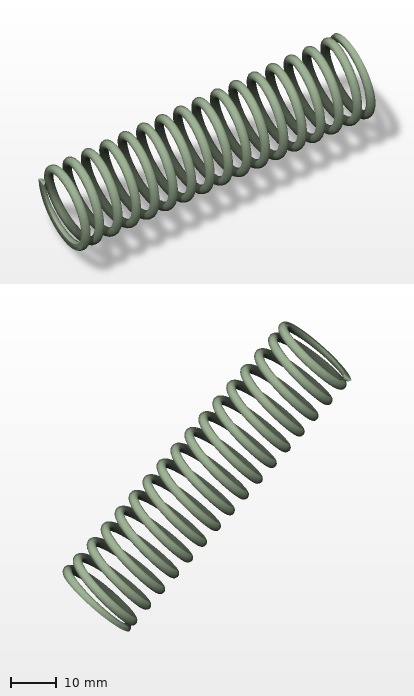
import cadquery as cq

outer_diameter = 20.0
free_length = 74.0
wire_diameter = 2.08
active_turns = 15
end_turn_clearance = 0.01
grind_past_centre = 0.1

wire_radius = wire_diameter / 2
coil_radius = (outer_diameter - wire_diameter) / 2
end_turn_pitch = wire_diameter + end_turn_clearance
active_start = end_turn_pitch - grind_past_centre
active_end = free_length - active_start
active_length = active_end - active_start
active_pitch = active_length / active_turns


def coil(pitch, length, start):
    """Left-hand coil along Y that begins and ends at the -X side, at mid height."""
    axis = cq.Plane(origin=(0, start, 0), xDir=(-1, 0, 0), normal=(0, 1, 0))
    path = cq.Wire.makeHelix(pitch, length, coil_radius, lefthand=True).moved(axis.location)
    section = cq.Workplane("XY").center(-coil_radius, start).circle(wire_radius)
    return section.sweep(path, isFrenet=True)


def ground_end_turn(start):
    """One closed turn, cut flat where it reaches past the ends of the spring."""
    turn = coil(end_turn_pitch, end_turn_pitch, start)
    envelope = cq.Workplane("XY").box(2 * outer_diameter, free_length, 2 * outer_diameter)
    return turn.intersect(envelope.translate((0, free_length / 2, 0)))


active_coils = coil(active_pitch, active_length, active_start)
first_end_turn = ground_end_turn(-grind_past_centre)
last_end_turn = ground_end_turn(active_end)

result = active_coils.union(first_end_turn).union(last_end_turn)